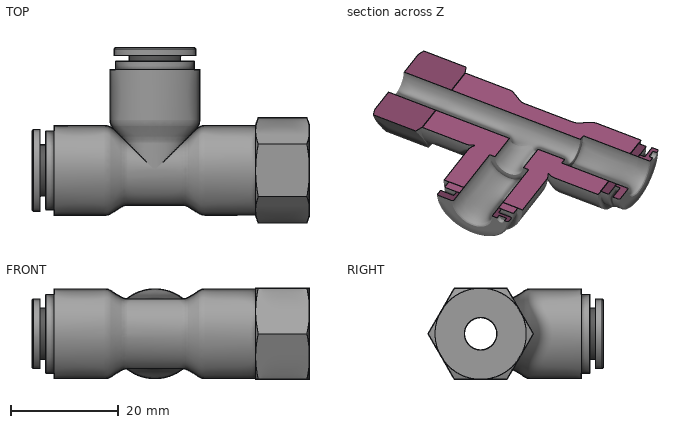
import cadquery as cq
import math


BODY_DIAMETER = 16.7
WAIST_DIAMETER = 13.0
ARM_LENGTH = 18.75
SHOULDER_START = 5.75
SHOULDER_END = 8.7
SHOULDER_FILLET = 2.0

PASSAGE_DIAMETER = 6.0
TUBE_DIAMETER = 8.2
TUBE_STOP = SHOULDER_END

RING_DIAMETER = 14.7
RING_LENGTH = 1.65
RING_CHAMFER = 0.15

PORT_REACH = 22.85
FLANGE_WIDTH = 15.2
FLANGE_HEIGHT = 13.0
FLANGE_THICKNESS = 1.5
FLANGE_CHAMFER = 0.25
NECK_DIAMETER = 9.6
NECK_FILLET = 0.1
MOUTH_DIAMETER = 8.55
DOT_DIAMETER = 1.5
DOT_OFFSET = 6.0
DOT_DEPTH = 0.75

OVERALL_LENGTH = 51.6
NUT_ACROSS_FLATS = 17.0
NUT_CHAMFER_ANGLE = 20.0

RING_FRONT = ARM_LENGTH + RING_LENGTH
NUT_END = OVERALL_LENGTH - PORT_REACH

TUBE_PORT_ANGLES = (180, 90)
NUT_ANGLE = 0


def rod(diameter, start, end):
    """A round bar on the X axis."""
    return cq.Workplane("YZ", origin=(start, 0, 0)).circle(diameter / 2).extrude(end - start)


def turned(part, angle):
    """The part turned about Z, from the +X direction to another arm."""
    return part.rotate((0, 0, 0), (0, 0, 1), angle)


def housing_arm():
    """One solid arm along +X: a waist, a conical shoulder and a cylinder, with blended shoulder ends."""
    waist_radius = WAIST_DIAMETER / 2
    body_radius = BODY_DIAMETER / 2
    arm = (
        cq.Workplane("XY")
        .polyline(
            [
                (0, 0),
                (0, waist_radius),
                (SHOULDER_START, waist_radius),
                (SHOULDER_END, body_radius),
                (ARM_LENGTH, body_radius),
                (ARM_LENGTH, 0),
            ]
        )
        .close()
        .revolve(360, (0, 0, 0), (1, 0, 0))
    )
    shoulder_edges = arm.edges("%CIRCLE").edges("not (<X or >X)")
    return shoulder_edges.fillet(SHOULDER_FILLET)


def make_housing():
    housing = turned(housing_arm(), NUT_ANGLE)
    for angle in TUBE_PORT_ANGLES:
        housing = housing.union(turned(housing_arm(), angle))
    housing = housing.cut(rod(PASSAGE_DIAMETER, 0, ARM_LENGTH))
    for angle in TUBE_PORT_ANGLES:
        bores = rod(PASSAGE_DIAMETER, 0, ARM_LENGTH).union(rod(TUBE_DIAMETER, TUBE_STOP, ARM_LENGTH))
        housing = housing.cut(turned(bores, angle))
    return housing


def make_guide_ring():
    ring = rod(RING_DIAMETER, ARM_LENGTH, RING_FRONT).faces(">X").chamfer(RING_CHAMFER)
    return ring.cut(rod(TUBE_DIAMETER, ARM_LENGTH, RING_FRONT))


def make_collet():
    flange_back = PORT_REACH - FLANGE_THICKNESS
    flange = (
        cq.Workplane("YZ", origin=(flange_back, 0, 0))
        .ellipse(FLANGE_WIDTH / 2, FLANGE_HEIGHT / 2)
        .extrude(FLANGE_THICKNESS)
        .faces(">X")
        .chamfer(FLANGE_CHAMFER)
    )
    collet = flange.union(rod(NECK_DIAMETER, RING_FRONT, flange_back))
    collet = collet.edges("%CIRCLE").edges(">X").fillet(NECK_FILLET)
    collet = collet.cut(rod(TUBE_DIAMETER, RING_FRONT, PORT_REACH))
    mouth_chamfer = (MOUTH_DIAMETER - TUBE_DIAMETER) / 2
    collet = collet.faces(">X").edges("%CIRCLE").chamfer(mouth_chamfer)
    dot = rod(DOT_DIAMETER, PORT_REACH - DOT_DEPTH, PORT_REACH).translate((0, DOT_OFFSET, 0))
    return collet.cut(dot)


def make_nut():
    across_corners = NUT_ACROSS_FLATS / math.cos(math.radians(30))
    length = NUT_END - ARM_LENGTH
    hexagon = cq.Workplane("YZ", origin=(ARM_LENGTH, 0, 0)).polygon(6, across_corners).extrude(length)
    corner_radius = across_corners / 2
    face_radius = NUT_ACROSS_FLATS / 2
    chamfer_length = (corner_radius - face_radius) * math.tan(math.radians(NUT_CHAMFER_ANGLE))
    chamfered_blank = (
        rod(across_corners, ARM_LENGTH, NUT_END)
        .faces("<X or >X")
        .chamfer(chamfer_length, corner_radius - face_radius)
    )
    nut = hexagon.intersect(chamfered_blank)
    return nut.cut(rod(PASSAGE_DIAMETER, ARM_LENGTH, NUT_END))


housing = make_housing()
nut = make_nut()
guide_rings = [turned(make_guide_ring(), angle) for angle in TUBE_PORT_ANGLES]
collets = [turned(make_collet(), angle) for angle in TUBE_PORT_ANGLES]

result = cq.Compound.makeCompound(
    [
        housing.val(),
        nut.val(),
        *[ring.val() for ring in guide_rings],
        *[collet.val() for collet in collets],
    ]
)